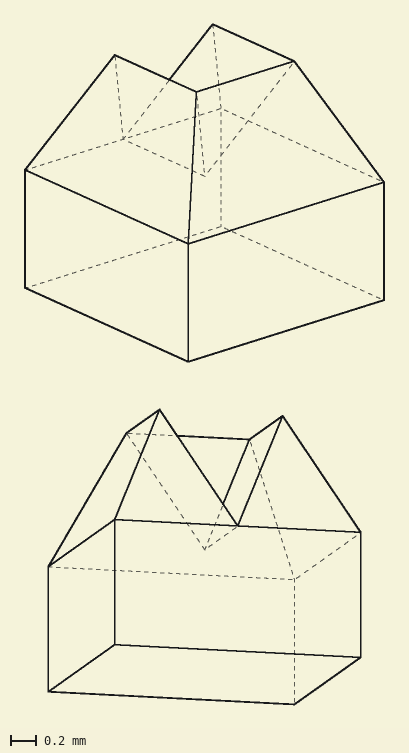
import cadquery as cq

base_width = 2.0
base_height = 1.0
taper_height = 1.0
top_width = 1.0

half_base = base_width / 2
half_top = top_width / 2
total_height = base_height + taper_height
valley_end_x = 0.0


def make_base():
    """Square block under the tapered cap."""
    return cq.Workplane("XY").box(base_width, base_width, base_height, centered=(True, True, False))


def make_cap():
    """Square frustum narrowing from the base to the rim."""
    return (
        cq.Workplane("XY", origin=(0, 0, base_height))
        .rect(base_width, base_width)
        .workplane(offset=taper_height)
        .rect(top_width, top_width)
        .loft(ruled=True)
    )


def make_notch():
    """V-groove open towards -X, closed at +X by a sloping end wall."""
    v_groove = (
        cq.Workplane("YZ", origin=(-half_base, 0, 0))
        .polyline([(0, base_height), (half_top, total_height), (-half_top, total_height)])
        .close()
        .extrude(half_base + half_top)
    )
    side_profile = [
        (-half_base, base_height),
        (valley_end_x, base_height),
        (half_top, total_height),
        (-half_base, total_height),
    ]
    end_limit = (
        cq.Workplane("XZ")
        .polyline(side_profile)
        .close()
        .extrude(half_top, both=True)
    )
    return v_groove.intersect(end_limit)


result = make_base().union(make_cap().cut(make_notch()))